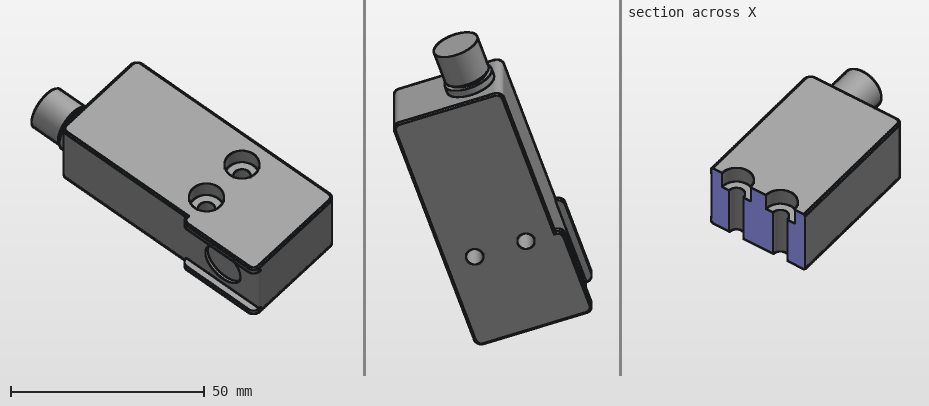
import cadquery as cq

total_length = 80.0
total_width = 32.0
height = 20.0
mid_height = height / 2

housing_length = 68.0
housing_start = total_length - housing_length
corner_radius = 2.0
edge_chamfer = 0.5

lip_reach = 2.0
lip_thickness = 2.0
lip_start = 55.0

sensor_diameter = 12.0
sensor_depth = 1.0
sensor_x = 67.5
end_edge_radius = 0.6

hole_x = lip_start
hole_y_first = 10.0
hole_spacing = 14.0
hole_diameter = 4.5
counterbore_diameter = 9.0
counterbore_depth = 5.0

connector_y = 10.5
plug_diameter = 12.0
plug_length = 9.0
neck_diameter = 10.0
neck_length = 1.0
flange_diameter = 13.0


def rounded_plate(x_start, y_start, x_end, y_end):
    """Full-height block with rounded vertical corners."""
    return (
        cq.Workplane("XY")
        .box(x_end - x_start, y_end - y_start, height, centered=False)
        .translate((x_start, y_start, 0))
        .edges("|Z")
        .fillet(corner_radius)
    )


def make_housing():
    """Main block and lip block joined, with broken top and bottom edges."""
    main = rounded_plate(housing_start, lip_reach, total_length, total_width)
    lip_block = rounded_plate(lip_start, 0, total_length, total_width)
    return main.union(lip_block).faces("<Z or >Z").chamfer(edge_chamfer)


def make_lip_gap():
    """Space between the two lips, in front of the sensing face."""
    return cq.Workplane("XY").box(
        total_length - housing_start, lip_reach, height - 2 * lip_thickness, centered=False
    ).translate((housing_start, 0, lip_thickness))


def round_end_edge(body):
    """Round the vertical end edge of the sensing face between the lips."""
    edge_middle = (total_length, lip_reach, mid_height)
    end_edge = cq.selectors.NearestToPointSelector(edge_middle)
    return body.edges(end_edge).fillet(end_edge_radius)


def make_sensor_recess():
    """Shallow round recess in the sensing face."""
    return (
        cq.Workplane("XZ", origin=(sensor_x, lip_reach, mid_height))
        .circle(sensor_diameter / 2)
        .extrude(-sensor_depth)
    )


def cylinder_along_x(diameter, x_start, x_end):
    return (
        cq.Workplane("YZ", origin=(x_start, connector_y, mid_height))
        .circle(diameter / 2)
        .extrude(x_end - x_start)
    )


def make_connector():
    """Plug, neck and flange; the flange is seated against the housing."""
    neck_end = plug_length + neck_length
    plug = cylinder_along_x(plug_diameter, 0, plug_length)
    neck = cylinder_along_x(neck_diameter, plug_length, neck_end)
    flange = cylinder_along_x(flange_diameter, neck_end, housing_start + corner_radius)
    return plug.union(neck).union(flange)


housing = round_end_edge(make_housing().cut(make_lip_gap()))
housing = housing.cut(make_sensor_recess())
result = (
    housing.union(make_connector())
    .faces(">Z")
    .workplane(origin=(0, 0, height))
    .pushPoints([(hole_x, hole_y_first), (hole_x, hole_y_first + hole_spacing)])
    .cboreHole(hole_diameter, counterbore_diameter, counterbore_depth)
)